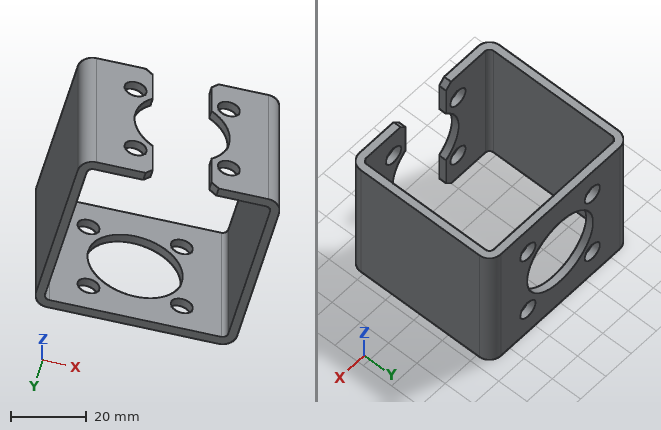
import cadquery as cq
import math

width = 55.0
depth = 50.0
height = 45.0
thickness = 2.5

outer_bend_radius = 4.0
inner_bend_radius = outer_bend_radius - thickness
slot_width = 16.0
lip_chamfer = 2.0

bore_diameter = 26.0
bolt_hole_diameter = 6.0
bolt_circle_diameter = 36.0
bolt_spacing = bolt_circle_diameter / math.sqrt(2)


def rounded_block(size_x, size_y, corner_radius):
    """Full-height block with rounded vertical edges, centred on the origin."""
    return cq.Workplane("XY").box(size_x, size_y, height).edges("|Z").fillet(corner_radius)


def bent_tube():
    outside = rounded_block(width, depth, outer_bend_radius)
    inside = rounded_block(width - 2 * thickness, depth - 2 * thickness, inner_bend_radius)
    return outside.cut(inside)


def front_slot():
    """Opening between the lips, widening at both ends to chamfer the lip corners."""
    half_slot = slot_width / 2
    half_mouth = half_slot + lip_chamfer
    top = height / 2
    chamfer_start = top - lip_chamfer
    outline = [
        (half_mouth, top),
        (half_slot, chamfer_start),
        (half_slot, -chamfer_start),
        (half_mouth, -top),
        (-half_mouth, -top),
        (-half_slot, -chamfer_start),
        (-half_slot, chamfer_start),
        (-half_mouth, top),
    ]
    return cq.Workplane("XZ").polyline(outline).close().extrude(depth / 2)


def through_holes():
    bore = cq.Workplane("XZ").circle(bore_diameter / 2).extrude(depth / 2, both=True)
    bolts = (
        cq.Workplane("XZ")
        .rect(bolt_spacing, bolt_spacing, forConstruction=True)
        .vertices()
        .circle(bolt_hole_diameter / 2)
        .extrude(depth / 2, both=True)
    )
    return bore.union(bolts)


result = bent_tube().cut(front_slot()).cut(through_holes())